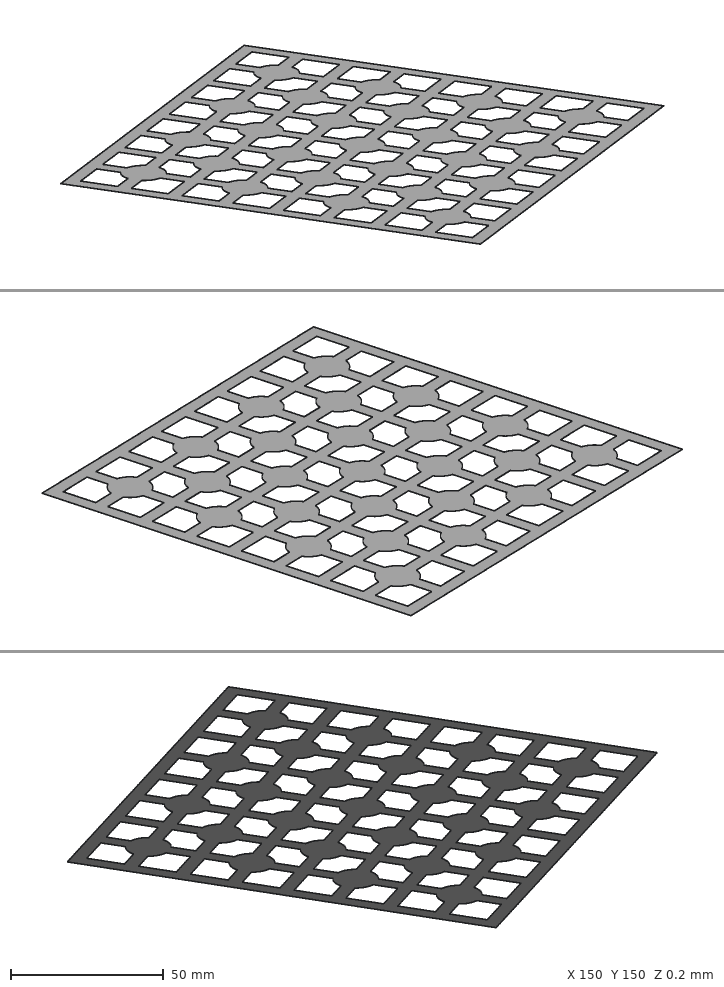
import cadquery as cq

PLATE_SIDE = 150.0
PLATE_THICKNESS = 0.2
BAR_WIDTH = 5.0
WINDOWS_PER_SIDE = 8
DISC_RADIUS = 7.5

PITCH = (PLATE_SIDE - BAR_WIDTH) / WINDOWS_PER_SIDE
WINDOW_SIDE = PITCH - BAR_WIDTH


def make_lattice():
    """Square plate pierced by a regular grid of square windows."""
    plate = cq.Workplane("XY").rect(PLATE_SIDE, PLATE_SIDE).extrude(PLATE_THICKNESS)
    windows = (
        cq.Workplane("XY")
        .rarray(PITCH, PITCH, WINDOWS_PER_SIDE, WINDOWS_PER_SIDE)
        .rect(WINDOW_SIDE, WINDOW_SIDE)
        .extrude(PLATE_THICKNESS)
    )
    return plate.cut(windows)


def disc_centers():
    """Bar crossings inside the frame whose column and row are both odd or both even."""
    middle = WINDOWS_PER_SIDE / 2
    crossings = range(1, WINDOWS_PER_SIDE)
    return [
        ((column - middle) * PITCH, (row - middle) * PITCH)
        for column in crossings
        for row in crossings
        if column % 2 == row % 2
    ]


def make_discs():
    """Round pads, flush with the plate, that widen the chosen crossings."""
    return cq.Workplane("XY").pushPoints(disc_centers()).circle(DISC_RADIUS).extrude(PLATE_THICKNESS)


result = make_lattice().union(make_discs(), clean=True)